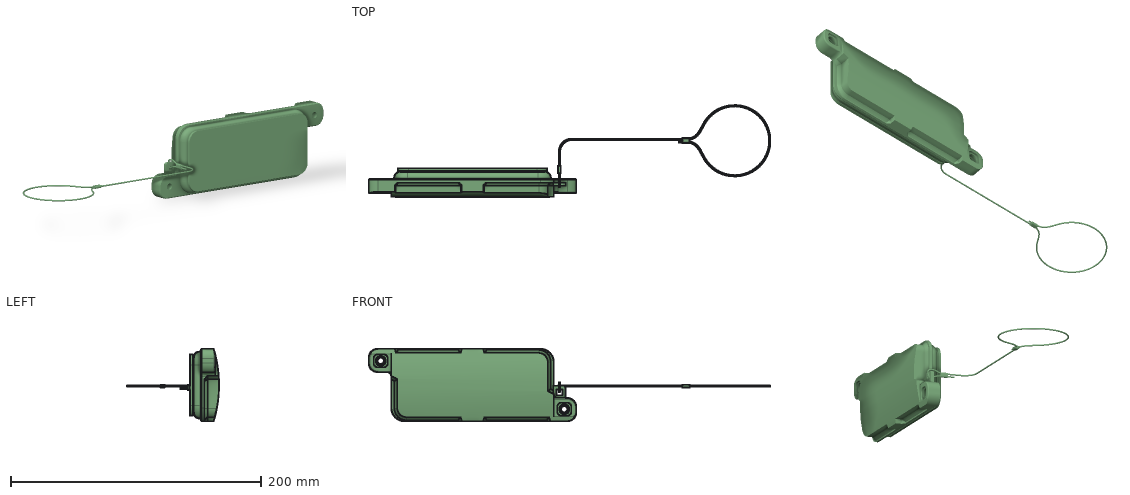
import math

import cadquery as cq

housing_width = 130.0
housing_height = 58.0
housing_corner_radius = 11.0
dome_front = -14.6
dome_radius = 98.0
back_edge_chamfer = 0.8

ear_end = 83.0
ear_height = 18.8
ear_corner_radius = 7.5
ear_inner_fillet = 3.0
ear_front = -11.4
ear_front_fillet = 1.0
ear_hole_x = 73.3
ear_hole_z = 19.3
ear_hole_diameter = 5.0
ear_seat_diameter = 8.0
ear_seat_depth = 3.0
ear_pocket_width = 11.4
ear_pocket_height = 10.4
ear_pocket_corner_radius = 3.5
ear_pocket_depth = 1.5

flange_thickness = 2.9
recess_floor_x = 60.0
recess_floor_z = 25.6
recess_floor_corner_radius = 7.0
recess_end_slant = 2.5
recess_wall_chamfer = 2.4
recess_gap_half = 7.0
straight_recess_end = 63.6
side_recess_end_z = -7.2

cover_width = 125.4
cover_height = 53.6
cover_corner_radius = 10.5
cover_thickness = 5.7
cover_edge_fillet = 4.9
lid_width = 119.6
lid_height = 49.4
lid_corner_radius = 8.5
lid_front = 6.6
lid_back = 8.7
groove_depth = 0.8

tab_start_x = 64.4
tab_end_x = 74.4
tab_top_z = -0.5
tab_back = -2.9
tab_thickness = 2.6
tab_corner_radius = 1.5
tab_root_depth = 1.0
tab_hole_x = 69.4
tab_hole_z = -5.8
tab_hole_size = 4.6

wire_diameter = 1.2
wire_z = -0.9
wire_spacing = 2.0
mast_x = tab_hole_x
crimp_length = 5.8
crimp_width = 4.2
crimp_thickness = 2.4
tab_loop_top_z = 1.7
tab_loop_bulge = 0.3
tab_tail_length = 6.0
ring_tail_length = 3.0
tab_crimp_start_y = 4.7
straight_y = 31.6
bend_radius = 10.0
ring_crimp_start_x = 167.5
ring_radius = 28.0
lanyard_end_x = 237.95
lanyard_back_y = 59.06
ring_center_x = lanyard_end_x - ring_radius - wire_diameter / 2
ring_center_y = lanyard_back_y - ring_radius - wire_diameter / 2
flare_angle = math.radians(152)

dome_length = 200.0
recess_cut_depth = 20.0


def xz_plane(y):
    """Sketch plane at depth y whose local axes are X and Z and whose normal is -Y."""
    return cq.Workplane("XZ", origin=(0, y, 0))


def half_turn(shape):
    """The shape turned half round the Y axis."""
    return shape.rotate((0, 0, 0), (0, 1, 0), 180)


def rounded_block(width, height, radius, back, thickness):
    block = xz_plane(back).rect(width, height).extrude(thickness)
    return block.edges("|Y").fillet(radius)


def dome():
    """Cylinder along X whose front face forms the domed front."""
    axis_y = dome_front + dome_radius
    axis = cq.Workplane("YZ", origin=(-dome_length / 2, axis_y, 0))
    return axis.circle(dome_radius).extrude(dome_length)


def ear():
    """Upper left ear, reaching into the housing."""
    length = ear_end - housing_width / 2 + housing_corner_radius
    center_x = -ear_end + length / 2
    center_z = housing_height / 2 - ear_height / 2
    block = xz_plane(0).center(center_x, center_z).rect(length, ear_height).extrude(-ear_front)
    block = block.edges("|Y and <X").fillet(ear_corner_radius)
    return block.faces("<Y").edges("not >X").fillet(ear_front_fillet)


def ear_corner_web():
    """Concave round between the underside of an ear and the housing side."""
    corner_x = -housing_width / 2
    corner_z = housing_height / 2 - ear_height
    radius = ear_inner_fillet
    return (
        xz_plane(0)
        .moveTo(corner_x, corner_z)
        .lineTo(corner_x, corner_z - radius)
        .radiusArc((corner_x - radius, corner_z), -radius)
        .close()
        .extrude(-ear_front)
    )


def housing():
    """Plate with two rounded corners and two eared corners, trimmed to the dome."""
    width, height, depth = housing_width, housing_height, -dome_front
    body = xz_plane(0).rect(width, height).extrude(depth)
    round_corners = cq.selectors.SumSelector(
        cq.selectors.NearestToPointSelector((width / 2, -depth / 2, height / 2)),
        cq.selectors.NearestToPointSelector((-width / 2, -depth / 2, -height / 2)),
    )
    body = body.edges("|Y").edges(round_corners).fillet(housing_corner_radius)
    for part in (ear(), ear_corner_web()):
        body = body.union(part).union(half_turn(part))
    body = body.faces(">Y").chamfer(back_edge_chamfer)
    return body.intersect(dome())


def recess(outline):
    """Cutter open to the front, with sloped edges next to the flange."""
    cutter = outline.close().extrude(recess_cut_depth)
    return cutter.faces(">Y").chamfer(recess_wall_chamfer)


def straight_recess():
    """Recess in the top edge, beside the upper left ear."""
    outer_z = housing_height / 2 + 2 * recess_wall_chamfer
    slant = recess_end_slant
    return recess(
        xz_plane(-flange_thickness)
        .moveTo(-straight_recess_end, outer_z)
        .lineTo(-straight_recess_end + slant, recess_floor_z)
        .lineTo(-recess_gap_half - slant, recess_floor_z)
        .lineTo(-recess_gap_half, outer_z)
    )


def corner_recess():
    """Recess running along the top edge and round the upper right corner."""
    outer_x = housing_width / 2 + 2 * recess_wall_chamfer
    outer_z = housing_height / 2 + 2 * recess_wall_chamfer
    radius = recess_floor_corner_radius
    slant = recess_end_slant
    return recess(
        xz_plane(-flange_thickness)
        .moveTo(recess_gap_half, outer_z)
        .lineTo(recess_gap_half + slant, recess_floor_z)
        .lineTo(recess_floor_x - radius, recess_floor_z)
        .radiusArc((recess_floor_x, recess_floor_z - radius), radius)
        .lineTo(recess_floor_x, side_recess_end_z + slant)
        .lineTo(outer_x, side_recess_end_z - slant)
        .lineTo(outer_x, outer_z)
    )


def ear_bore():
    """Through hole, round seat and shallow rounded pocket of the upper left ear."""
    pocket = xz_plane(ear_front + ear_pocket_depth).center(-ear_hole_x, ear_hole_z)
    pocket = pocket.rect(ear_pocket_width, ear_pocket_height).extrude(ear_pocket_depth)
    pocket = pocket.edges("|Y").fillet(ear_pocket_corner_radius)
    seat_bottom = ear_front + ear_pocket_depth + ear_seat_depth
    seat = xz_plane(seat_bottom).center(-ear_hole_x, ear_hole_z)
    seat = seat.circle(ear_seat_diameter / 2).extrude(ear_seat_depth)
    hole = xz_plane(0).center(-ear_hole_x, ear_hole_z)
    hole = hole.circle(ear_hole_diameter / 2).extrude(-ear_front)
    return pocket.union(seat).union(hole)


def back_cover():
    """Cover with a rounded rim, and a lid set off from it by a groove."""
    cover = rounded_block(
        cover_width, cover_height, cover_corner_radius, cover_thickness, cover_thickness
    )
    cover = cover.faces(">Y").edges().fillet(cover_edge_fillet)
    neck = rounded_block(
        lid_width - 2 * groove_depth,
        lid_height - 2 * groove_depth,
        lid_corner_radius - groove_depth,
        lid_front,
        lid_front - cover_thickness / 2,
    )
    lid = rounded_block(
        lid_width, lid_height, lid_corner_radius, lid_back, lid_back - lid_front
    )
    return cover.union(neck).union(lid)


def lanyard_tab():
    """Thin plate rooted in the lower ear, with a square hole for the wire."""
    bottom_z = ear_height - housing_height / 2 - tab_root_depth
    width = tab_end_x - tab_start_x
    height = tab_top_z - bottom_z
    tab = xz_plane(tab_back).center(tab_start_x + width / 2, bottom_z + height / 2)
    tab = tab.rect(width, height).extrude(tab_thickness)
    tab = tab.edges("|Y and >X and >Z").fillet(tab_corner_radius)
    hole = xz_plane(tab_back).center(tab_hole_x, tab_hole_z)
    hole = hole.rect(tab_hole_size, tab_hole_size).extrude(tab_thickness)
    return tab.cut(hole)


def wire(path, start, direction):
    profile = cq.Workplane(cq.Plane(origin=start, normal=direction)).circle(wire_diameter / 2)
    return profile.sweep(path)


def tab_loop():
    """Wire leaving the tab crimp, passing over the tab and back through its hole."""
    upper = (tab_crimp_start_y + crimp_length / 2, wire_z)
    hole_contact_z = tab_hole_z + tab_hole_size / 2 - wire_diameter / 3
    lower = (upper[0], wire_z - wire_spacing)
    tab_front = tab_back - tab_thickness
    points = [
        upper,
        (tab_back / 2, tab_loop_top_z),
        (tab_front - tab_loop_bulge, tab_loop_top_z - wire_diameter),
        (tab_front + tab_loop_bulge, hole_contact_z),
        lower,
    ]
    path = cq.Workplane("YZ", origin=(mast_x, 0, 0)).spline(points, tangents=[(-1, 0), (1, 0)])
    return wire(path, (mast_x, upper[0], upper[1]), (0, -1, 0))


def main_wire():
    """Wire from the tab crimp along Y, round a bend and along X to the ring crimp."""
    start_y = tab_crimp_start_y + crimp_length / 2
    end_x = ring_crimp_start_x + crimp_length / 2
    path = (
        cq.Workplane("XY", origin=(0, 0, wire_z))
        .moveTo(mast_x, start_y)
        .lineTo(mast_x, straight_y - bend_radius)
        .radiusArc((mast_x + bend_radius, straight_y), bend_radius)
        .lineTo(end_x, straight_y)
    )
    return wire(path, (mast_x, start_y, wire_z), (0, 1, 0))


def ring_wire():
    """Large ring whose two ends flare together into the ring crimp."""
    start_x = ring_crimp_start_x + crimp_length / 2
    lower_y = straight_y - wire_spacing
    join_x = ring_center_x + ring_radius * math.cos(flare_angle)
    join_rise = ring_radius * math.sin(flare_angle)
    tangent = (math.sin(flare_angle), -math.cos(flare_angle))
    upper_join = (join_x, ring_center_y + join_rise)
    lower_join = (join_x, ring_center_y - join_rise)
    path = (
        cq.Workplane("XY", origin=(0, 0, wire_z))
        .moveTo(start_x, straight_y)
        .spline([(start_x, straight_y), upper_join], tangents=[(1, 0), tangent])
        .threePointArc((ring_center_x + ring_radius, ring_center_y), lower_join)
        .spline([lower_join, (start_x, lower_y)], tangents=[(-tangent[0], tangent[1]), (-1, 0)])
    )
    return wire(path, (start_x, straight_y, wire_z), (1, 0, 0))


def crimps_and_tails():
    """Flat sleeve with the short wire tail it holds, at each end of the main wire."""
    pair_offset = wire_spacing / 2
    half_crimp = crimp_length / 2
    tab_sleeve = cq.Workplane("XZ", origin=(mast_x, tab_crimp_start_y, wire_z - pair_offset))
    tab_sleeve = tab_sleeve.slot2D(crimp_width, crimp_thickness, 90).extrude(-crimp_length)
    tab_tail = cq.Workplane(
        "XZ", origin=(mast_x, tab_crimp_start_y + half_crimp, wire_z - wire_spacing)
    )
    tab_tail = tab_tail.circle(wire_diameter / 2).extrude(-half_crimp - tab_tail_length)
    ring_sleeve = cq.Workplane("YZ", origin=(ring_crimp_start_x, straight_y - pair_offset, wire_z))
    ring_sleeve = ring_sleeve.slot2D(crimp_width, crimp_thickness).extrude(crimp_length)
    ring_tail = cq.Workplane(
        "YZ", origin=(ring_crimp_start_x + half_crimp, straight_y - wire_spacing, wire_z)
    )
    ring_tail = ring_tail.circle(wire_diameter / 2).extrude(-half_crimp - ring_tail_length)
    return [tab_sleeve, tab_tail, ring_sleeve, ring_tail]


result = housing()
for cutter in (straight_recess(), corner_recess(), ear_bore()):
    result = result.cut(cutter).cut(half_turn(cutter))
result = result.union(back_cover()).union(lanyard_tab())
for part in [tab_loop(), main_wire(), ring_wire()] + crimps_and_tails():
    result = result.union(part)